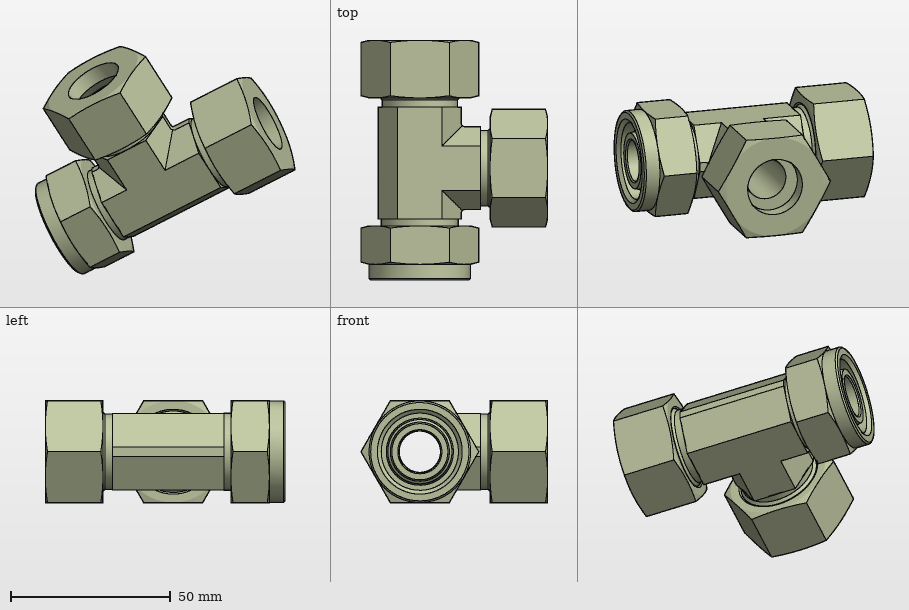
import cadquery as cq
import math

REAR_TURN = 0
BRANCH_TURN = -90
FRONT_TURN = 180

bar_flats = 24.0
bar_width = 26.05
threaded_reach = 19.1
swivel_reach = 16.0
crotch_radius = 1.0
bore_radius = 6.45

thread_radius = 12.75
relief_radius = 11.85
relief_end = 21.4
spigot_end = 31.1
tube_radius = 9.0

nut_flats = 32.0
nut_circle_radius = nut_flats / 2
nut_corner_radius = nut_circle_radius / math.cos(math.radians(30))
nut_chamfer_angle = 15
mouth_radius = 13.3
port_nut_start = 22.0
port_nut_end = 40.0

swivel_nut_start = 18.1
swivel_hex_end = 30.1
swivel_nut_end = 35.05
swivel_rim_radius = 15.9
swivel_rim_chamfer = 0.5
swivel_thread_radius = 12.1
collar_end = 27.5
cone_base_radius = 10.5
cone_tip_radius = 8.8
cone_half_angle = 12
tip_end = 34.0
bore_chamfer = 0.45
tip_length = 2.25
o_ring_thickness = 2.0
o_ring_outer_radius = 10.05
groove_end = tip_end - tip_length
groove_start = groove_end - o_ring_thickness
groove_floor_radius = o_ring_outer_radius - o_ring_thickness

cone_slope = math.tan(math.radians(cone_half_angle))


def turned(profile):
    """Revolve a closed (radius, distance along the port) outline about the port axis."""
    return cq.Workplane("XY").polyline(profile).close().revolve(360, (0, 0, 0), (0, 1, 0))


def cylinder(radius, start, end):
    return turned([(0, start), (radius, start), (radius, end), (0, end)])


def facing(shape, turn):
    return shape.rotate((0, 0, 0), (0, 0, 1), turn)


def cone_radius(distance):
    """Radius of the sealing cone at a distance from the tee centre."""
    return cone_tip_radius + (tip_end - distance) * cone_slope


def hexagon_bar(flats, start, end):
    """Hexagonal bar along the port, with flats up and down and corners to the sides."""
    corner_radius = flats / 2 / math.cos(math.radians(30))
    corners = [
        (corner_radius * math.cos(math.radians(angle)), corner_radius * math.sin(math.radians(angle)))
        for angle in range(0, 360, 60)
    ]
    return cq.Workplane("XZ", origin=(0, start, 0)).polyline(corners).close().extrude(start - end)


def bar(start, end):
    """Hexagonal bar, flats up and down, trimmed to the bar width."""
    hexagon = hexagon_bar(bar_flats, start, end)
    length = end - start
    trim = cq.Workplane("XY").box(bar_width, length, bar_flats).translate((0, start + length / 2, 0))
    return hexagon.intersect(trim)


def threaded_spigot():
    taper = thread_radius - relief_radius
    return turned([
        (0, threaded_reach),
        (relief_radius, threaded_reach),
        (relief_radius, relief_end),
        (thread_radius, relief_end + taper),
        (thread_radius, spigot_end),
        (0, spigot_end),
    ])


def swivel_spigot():
    return turned([
        (0, swivel_reach),
        (swivel_thread_radius, swivel_reach),
        (swivel_thread_radius, collar_end),
        (cone_base_radius, collar_end),
        (cone_base_radius, tip_end - (cone_base_radius - cone_tip_radius) / cone_slope),
        (cone_radius(groove_start), groove_start),
        (groove_floor_radius, groove_start),
        (groove_floor_radius, groove_end),
        (cone_radius(groove_end), groove_end),
        (cone_tip_radius, tip_end),
        (0, tip_end),
    ])


def tee_bores():
    """Run and branch bores, with the chamfered mouth at the swivel port."""
    branch = facing(cylinder(bore_radius, 0, spigot_end), BRANCH_TURN)
    run = cylinder(bore_radius, 0, spigot_end)
    mouth = turned([
        (0, 0),
        (bore_radius, 0),
        (bore_radius, tip_end - bore_chamfer),
        (bore_radius + bore_chamfer, tip_end),
        (0, tip_end),
    ])
    return run.union(branch).union(facing(mouth, FRONT_TURN))


def tee():
    bars = bar(-swivel_reach, threaded_reach).union(facing(bar(0, threaded_reach), BRANCH_TURN))
    crotch_edges = cq.selectors.BoxSelector(
        (bar_width / 2 - 0.1, -bar_width / 2 - 0.1, -bar_flats / 4),
        (bar_width / 2 + 0.1, bar_width / 2 + 0.1, bar_flats / 4),
    )
    bars = bars.edges(crotch_edges).fillet(crotch_radius)
    body = bars.union(facing(swivel_spigot(), FRONT_TURN))
    for turn in (REAR_TURN, BRANCH_TURN):
        body = body.union(facing(threaded_spigot(), turn))
    return body.cut(tee_bores())


def hexagon_prism(start, end):
    """Nut hexagon with both ends bevelled down to the circle between its flats."""
    hexagon = hexagon_bar(nut_flats, start, end)
    bevel = (nut_corner_radius - nut_circle_radius) * math.tan(math.radians(nut_chamfer_angle))
    envelope = turned([
        (0, start),
        (nut_circle_radius, start),
        (nut_corner_radius, start + bevel),
        (nut_corner_radius, end - bevel),
        (nut_circle_radius, end),
        (0, end),
    ])
    return hexagon.intersect(envelope)


def port_nut(turn):
    """Nut on a threaded port: threaded to the spigot end, then a 45 degree seat and the tube hole."""
    opening = turned([
        (0, port_nut_start),
        (mouth_radius, port_nut_start),
        (thread_radius, port_nut_start + mouth_radius - thread_radius),
        (thread_radius, spigot_end),
        (tube_radius, spigot_end + thread_radius - tube_radius),
        (tube_radius, port_nut_end),
        (0, port_nut_end),
    ])
    return facing(hexagon_prism(port_nut_start, port_nut_end).cut(opening), turn)


def swivel_nut():
    """Nut turning on the collar of the swivel port, with a round rim in front of its hexagon."""
    rim = turned([
        (0, swivel_hex_end),
        (swivel_rim_radius, swivel_hex_end),
        (swivel_rim_radius, swivel_nut_end - swivel_rim_chamfer),
        (swivel_rim_radius - swivel_rim_chamfer, swivel_nut_end),
        (0, swivel_nut_end),
    ])
    opening = turned([
        (0, swivel_nut_start),
        (swivel_thread_radius, swivel_nut_start),
        (swivel_thread_radius, swivel_nut_end - mouth_radius + swivel_thread_radius),
        (mouth_radius, swivel_nut_end),
        (0, swivel_nut_end),
    ])
    return facing(hexagon_prism(swivel_nut_start, swivel_hex_end).union(rim).cut(opening), FRONT_TURN)


def o_ring():
    section_radius = o_ring_thickness / 2
    ring = (
        cq.Workplane("XY")
        .center(o_ring_outer_radius - section_radius, groove_start + section_radius)
        .circle(section_radius)
        .revolve(360, (section_radius - o_ring_outer_radius, 0, 0), (section_radius - o_ring_outer_radius, 1, 0))
    )
    return facing(ring, FRONT_TURN)


port_nuts = [port_nut(turn) for turn in (REAR_TURN, BRANCH_TURN)]

result = cq.Compound.makeCompound([
    tee().val(),
    *[nut.val() for nut in port_nuts],
    swivel_nut().val(),
    o_ring().val(),
])